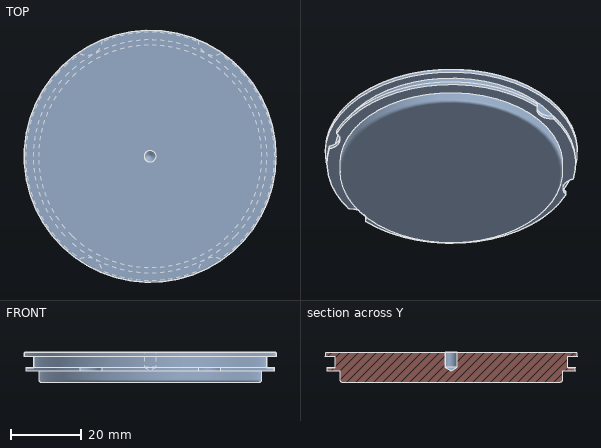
import cadquery as cq
import math

total_height = 8.7
base_radius = 31.7
base_height = 3.2
ring_radius = 35.4
ring_thickness = 1.0
neck_radius = 33.25
flange_radius = 35.9
flange_thickness = 1.3

base_fillet = 0.8
flange_fillet = 0.35

notch_radius = 4.3
notch_center_radius = 37.6
notch_angle = 61.4
notch_angles = (notch_angle, 180 - notch_angle, 180 + notch_angle, -notch_angle)

hole_radius = 1.65
hole_depth = 4.3
drill_tip_angle = 118

neck_bottom = base_height + ring_thickness
flange_bottom = total_height - flange_thickness


def disc(radius, bottom, top):
    """Cylinder on the Z axis between two heights."""
    return cq.Workplane("XY").workplane(offset=bottom).circle(radius).extrude(top - bottom)


def notched_ring():
    """Thin ring with round notches centred just outside its rim."""
    ring = disc(ring_radius, base_height, neck_bottom)
    for angle in notch_angles:
        notch = disc(notch_radius, base_height, neck_bottom).translate(
            (
                notch_center_radius * math.cos(math.radians(angle)),
                notch_center_radius * math.sin(math.radians(angle)),
                0,
            )
        )
        ring = ring.cut(notch)
    return ring


def drilled_hole():
    """Cylinder with a conical tip, entering from the top face."""
    tip_depth = hole_radius / math.tan(math.radians(drill_tip_angle / 2))
    shoulder = total_height - hole_depth
    return (
        cq.Workplane("XZ")
        .moveTo(0, total_height)
        .lineTo(hole_radius, total_height)
        .lineTo(hole_radius, shoulder)
        .lineTo(0, shoulder - tip_depth)
        .close()
        .revolve(360, (0, 0, 0), (0, 1, 0))
    )


base = disc(base_radius, 0, base_height).faces("<Z").edges().fillet(base_fillet)
neck = disc(neck_radius, neck_bottom, flange_bottom)
flange = disc(flange_radius, flange_bottom, total_height).faces(">Z").edges().fillet(flange_fillet)

body = base.union(notched_ring()).union(neck).union(flange)
result = body.cut(drilled_hole())